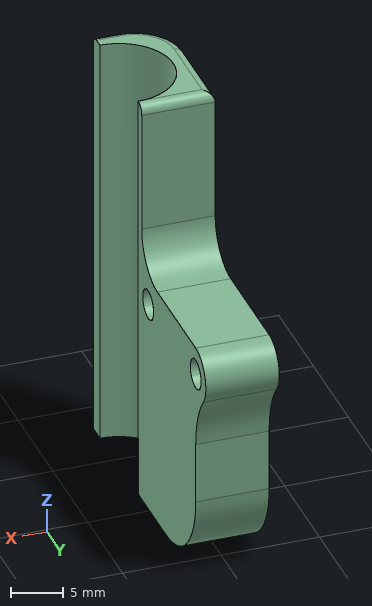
import cadquery as cq
import math

thickness = 7.5
height = 44.0
length = 32.4

column_depth = 14.0
column_corner_radius = 5.0
top_fillet_radius = 1.0
selection_margin = 0.05
bore_radius = 5.5
bore_centre_y = 7.5

ear_radius = 2.9
ear_y = length - ear_radius
plate_top = 25.8
ear_z = plate_top - ear_radius
neck_radius = 9.25
inner_corner_radius = 4.5
bottom_corner_radius = 8.6

hole_diameter = 3.1
hole_spacing = 13.65


def side_profile():
    """Outline of the plate and column in the YZ plane."""
    centre_distance = neck_radius + ear_radius
    neck_drop = math.sqrt(centre_distance**2 - neck_radius**2)
    neck_z = ear_z - neck_drop
    neck_angle = math.atan2(neck_drop, neck_radius)
    touch_y = ear_y + ear_radius * math.cos(neck_angle)
    touch_z = ear_z - ear_radius * math.sin(neck_angle)
    neck_mid_y = ear_y + neck_radius * (1 - math.cos(neck_angle / 2))
    neck_mid_z = neck_z + neck_radius * math.sin(neck_angle / 2)
    return (
        cq.Workplane("YZ")
        .moveTo(0, 0)
        .lineTo(ear_y - bottom_corner_radius, 0)
        .radiusArc((ear_y, bottom_corner_radius), -bottom_corner_radius)
        .lineTo(ear_y, neck_z)
        .threePointArc((neck_mid_y, neck_mid_z), (touch_y, touch_z))
        .threePointArc((ear_y + ear_radius, ear_z), (ear_y, plate_top))
        .lineTo(column_depth + inner_corner_radius, plate_top)
        .radiusArc((column_depth, plate_top + inner_corner_radius), inner_corner_radius)
        .lineTo(column_depth, height)
        .lineTo(0, height)
        .close()
    )


def round_column(body):
    """Round the front vertical corner, then the top rim except along the open side."""
    body = body.edges("|Z and <X and <Y").fillet(column_corner_radius)
    open_side = cq.selectors.BoxSelector(
        (thickness - selection_margin, -selection_margin, height - selection_margin),
        (thickness + selection_margin, column_depth + selection_margin, height + selection_margin),
    )
    rim_edges = cq.selectors.SubtractSelector(cq.StringSyntaxSelector("#Z"), open_side)
    rim = body.faces(">Z").edges(rim_edges)
    return rim.fillet(top_fillet_radius)


def bore():
    """Half-round channel along the column, open on the +X side."""
    return cq.Workplane("XY").center(thickness, bore_centre_y).circle(bore_radius).extrude(height)


def cross_holes():
    """Two holes through the plate thickness, one centred on the ear."""
    return (
        cq.Workplane("YZ")
        .pushPoints([(ear_y, ear_z), (ear_y - hole_spacing, ear_z)])
        .circle(hole_diameter / 2)
        .extrude(thickness)
    )


body = round_column(side_profile().extrude(thickness))
result = body.cut(bore()).cut(cross_holes())